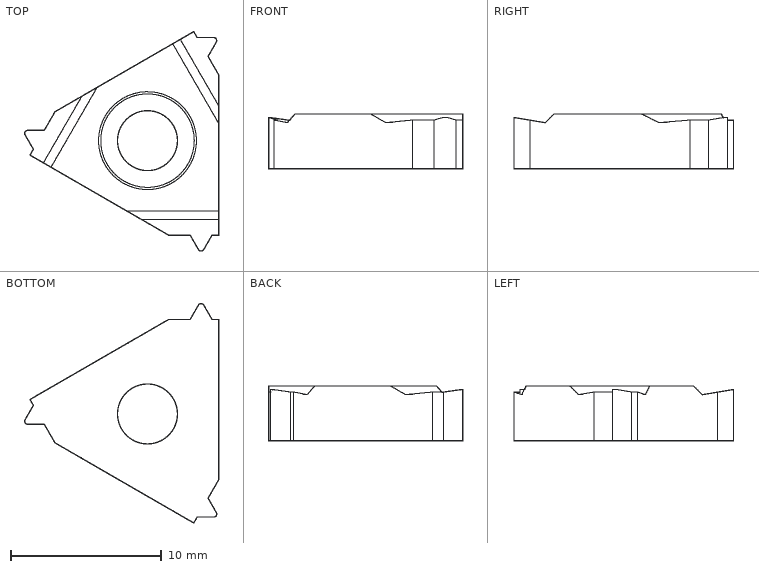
import cadquery as cq
import math

thickness = 3.65
side_distance = 4.75
land_distance = 6.3
corner_count = 3
corner_step = 360.0 / corner_count

tooth_centre_x = 3.57
tooth_half_base = 0.73
tooth_flank_angle = math.radians(60.0)
tooth_reach = 7.35

relief_start = 4.68
relief_depth = 0.58
relief_valley = relief_start + relief_depth
tip_depth = 0.23
overrun = 0.15

mouth_radius = 3.26
seat_radius = 3.11
throat_radius = 1.99
mouth_depth = 0.58
throat_height = 1.25


def prism(points):
    return cq.Workplane("XY").polyline(points).close().extrude(thickness)


def turned(shape, index):
    return shape.rotate((0, 0, 0), (0, 0, 1), index * corner_step)


def make_tooth():
    """Tooth with straight flanks and a tangent tip arc."""
    apex_reach = land_distance + tooth_half_base * math.tan(tooth_flank_angle)
    centre_ratio = 1 / math.cos(tooth_flank_angle)
    tip_radius = (apex_reach - tooth_reach) / (centre_ratio - 1)
    centre_y = -apex_reach + tip_radius * centre_ratio
    tangent_x = tip_radius * math.sin(tooth_flank_angle)
    tangent_y = centre_y - tip_radius * math.cos(tooth_flank_angle)
    left = tooth_centre_x - tooth_half_base
    right = tooth_centre_x + tooth_half_base
    return (
        cq.Workplane("XY")
        .moveTo(left, -relief_valley)
        .lineTo(left, -land_distance)
        .lineTo(tooth_centre_x - tangent_x, tangent_y)
        .threePointArc((tooth_centre_x, -tooth_reach), (tooth_centre_x + tangent_x, tangent_y))
        .lineTo(right, -land_distance)
        .lineTo(right, -relief_valley)
        .close()
        .extrude(thickness)
    )


def make_relief():
    """Cutter with a 45 degree ramp and a floor rising outward to the tooth tip."""
    floor_slope = (relief_depth - tip_depth) / (tooth_reach - relief_valley)
    outer = tooth_reach + overrun
    outer_depth = relief_depth - floor_slope * (outer - relief_valley)
    width = 2 * tooth_reach
    return (
        cq.Workplane("YZ")
        .polyline([
            (-relief_start, thickness),
            (-relief_valley, thickness - relief_depth),
            (-outer, thickness - outer_depth),
            (-outer, thickness),
        ])
        .close()
        .extrude(width, both=True)
    )


def make_hole():
    """Tapered mouth, rounded screw seat tangent to a straight throat."""
    seat_height = thickness - mouth_depth
    seat_width = seat_radius - throat_radius
    seat_drop = seat_height - throat_height
    arc_radius = (seat_width ** 2 + seat_drop ** 2) / (2 * seat_width)
    arc_centre = throat_radius + arc_radius
    half_sweep = math.asin(seat_drop / arc_radius) / 2
    arc_middle = (
        arc_centre - arc_radius * math.cos(half_sweep),
        throat_height + arc_radius * math.sin(half_sweep),
    )
    return (
        cq.Workplane("XZ")
        .moveTo(0, 0)
        .lineTo(throat_radius, 0)
        .lineTo(throat_radius, throat_height)
        .threePointArc(arc_middle, (seat_radius, seat_height))
        .lineTo(mouth_radius, thickness)
        .lineTo(0, thickness)
        .close()
        .revolve(360, (0, 0, 0), (0, 1, 0))
    )


side_half_length = side_distance * math.sqrt(3)
triangle = [
    (side_distance, -side_half_length),
    (side_distance, side_half_length),
    (-2 * side_distance, 0),
]
flat_cutter = prism([
    (-tooth_reach, -land_distance),
    (tooth_reach, -land_distance),
    (tooth_reach, -2 * land_distance),
    (-tooth_reach, -2 * land_distance),
])

body = prism(triangle)
for corner in range(corner_count):
    body = body.cut(turned(flat_cutter, corner))
for corner in range(corner_count):
    body = body.union(turned(make_tooth(), corner))
for corner in range(corner_count):
    body = body.cut(turned(make_relief(), corner))

result = body.cut(make_hole())